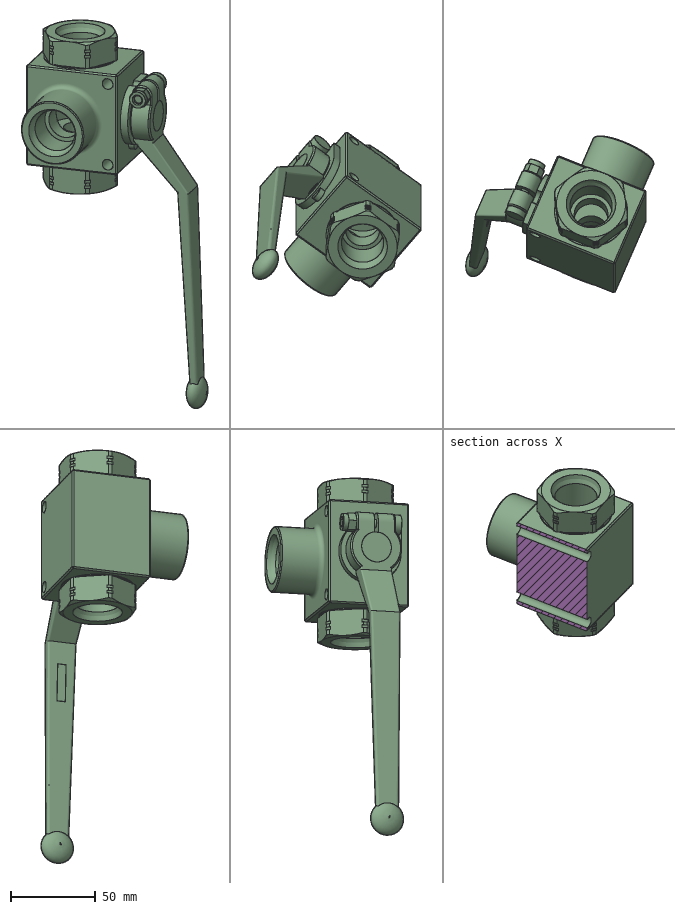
import cadquery as cq
import math


BLOCK_LEFT = -25.5
BLOCK_RIGHT = 31.6
BLOCK_WIDTH = 49.1
BLOCK_HEIGHT = 62.5
BLOCK_CHAMFER = 1.0
MOUNT_HOLE_DIAMETER = 6.5
MOUNT_HOLE_X = 25.7
MOUNT_HOLE_Z = 25.3

BORE_DIAMETER = 20.0
SEAT_DIAMETER = 25.0
SEAT_DEPTH = 22.8
SEAT_CONE_START = 2.7
SEAT_CONE_END = 5.0
MOUTH_INNER_DIAMETER = 27.8
MOUTH_DIAMETER = 29.3

CHAMBER_DIAMETER = 35.5
CHAMBER_HEIGHT = 25.0

PORT_TOP = 47.5
HEX_ACROSS_FLATS = 41.0
HEX_CORNER_RADIUS = 23.0
HEX_CHAMFER_HEIGHT = 1.1
COLLAR_DIAMETER = 43.2
COLLAR_HEIGHT = 0.7
CORNER_GROOVE_RADIUS = 22.64
CORNER_GROOVE_WIDTH = 1.5
CORNER_GROOVE_DEPTHS = (5.0, 8.5)

SPIGOT_DIAMETER = 39.1
SPIGOT_LENGTH = 26.0
SPIGOT_CHAMFER = 0.7
SPIGOT_ROOT_RADIUS = 3.0

PLATE_DIAMETER = 37.0
PLATE_THICKNESS = 4.5
PLATE_NOTCH_DIAMETER = 8.2
PLATE_NOTCH_Y = 0.7
STOP_PIN_DIAMETER = 8.0
STOP_PIN_LENGTH = 3.5
STOP_PIN_BOTTOM = -22.3
STEM_DIAMETER = 18.2

CLAMP_LEFT = 36.5
CLAMP_LENGTH = 12.5
CLAMP_RIGHT = CLAMP_LEFT + CLAMP_LENGTH
CLAMP_CENTRE_X = CLAMP_LEFT + CLAMP_LENGTH / 2
CLAMP_DIAMETER = 31.5
CLAMP_CHAMFER = 1.0
LUG_CENTRE_Z = 15.5
LUG_BOTTOM = 10.0
LUG_WIDTH = 23.7
LUG_CHAMFER = 1.0
SLIT_WIDTH = 2.3

BOLT_SHANK_DIAMETER = 5.0
BOLT_HEAD_DIAMETER = 11.8
BOLT_HEAD_HEIGHT = 3.9
NUT_ACROSS_FLATS = 10.0
NUT_HEIGHT = 4.8
BOLT_TIP_DIAMETER = 10.0
BOLT_TIP_LENGTH = 3.0
SOCKET_DIAMETER = 5.0
SOCKET_CHAMFER = 0.7
SOCKET_DEPTH = 2.0

ARM_ROOT = (CLAMP_CENTRE_X, -9.0, CLAMP_LENGTH, 18.9, 1.0)
ARM_TOP = (CLAMP_CENTRE_X, -14.0, CLAMP_LENGTH, 18.9, 1.0)
ARM_BEND = (67.3, -43.7, 7.0, 17.7, 1.1)
ARM_END = (73.3, -163.8, 5.2, 13.6, 1.5)
KNOB_DIAMETER = 20.0
KNOB_THICKNESS = 11.8
KNOB_CENTRE = (73.3, 0, -170.0)
PANEL_WIDTH = 5.2
PANEL_LENGTH = 23.0
PANEL_CENTRE_Z = -68.7
PANEL_DEPTH = 0.5


def x_cylinder(diameter, start, length):
    return cq.Workplane("YZ", origin=(start, 0, 0)).circle(diameter / 2).extrude(length)


def y_cylinder(diameter, x, z, start, length):
    """Cylinder that runs from `start` toward -Y."""
    return cq.Workplane("XZ", origin=(x, start, z)).circle(diameter / 2).extrude(length)


def block():
    body = cq.Workplane("XY").box(BLOCK_RIGHT - BLOCK_LEFT, BLOCK_WIDTH, BLOCK_HEIGHT)
    body = body.edges().chamfer(BLOCK_CHAMFER)
    return body.translate(((BLOCK_LEFT + BLOCK_RIGHT) / 2, 0, 0))


def hex_port():
    """Upper hexagonal port, with chamfered top and two grooves across each rounded corner."""
    base = BLOCK_HEIGHT / 2
    hex_base = base + COLLAR_HEIGHT
    collar = cq.Workplane("XY", origin=(0, 0, base)).circle(COLLAR_DIAMETER / 2).extrude(COLLAR_HEIGHT)
    across_corners = HEX_ACROSS_FLATS / math.cos(math.pi / 6)
    hex_height = PORT_TOP - hex_base
    prism = cq.Workplane("XY", origin=(0, 0, hex_base)).polygon(6, across_corners).extrude(hex_height)
    envelope = (
        cq.Workplane("XZ")
        .moveTo(0, hex_base)
        .lineTo(HEX_CORNER_RADIUS, hex_base)
        .lineTo(HEX_CORNER_RADIUS, PORT_TOP - HEX_CHAMFER_HEIGHT)
        .lineTo(HEX_ACROSS_FLATS / 2, PORT_TOP)
        .lineTo(0, PORT_TOP)
        .close()
        .revolve(360, (0, 0), (0, 1))
    )
    port = prism.intersect(envelope)
    for depth in CORNER_GROOVE_DEPTHS:
        groove_base = PORT_TOP - depth - CORNER_GROOVE_WIDTH / 2
        ring = (
            cq.Workplane("XY", origin=(0, 0, groove_base))
            .circle(across_corners / 2)
            .circle(CORNER_GROOVE_RADIUS)
            .extrude(CORNER_GROOVE_WIDTH)
        )
        port = port.cut(ring)
    return port.union(collar)


def spigot():
    """Round port on the -Y side, with a concave fillet where it leaves the block."""
    radius = SPIGOT_DIAMETER / 2
    face = BLOCK_WIDTH / 2
    end = face + SPIGOT_LENGTH
    arc_middle = SPIGOT_ROOT_RADIUS * (1 - math.sqrt(0.5))
    return (
        cq.Workplane("XY")
        .moveTo(0, -face)
        .lineTo(radius + SPIGOT_ROOT_RADIUS, -face)
        .threePointArc(
            (radius + arc_middle, -face - arc_middle),
            (radius, -face - SPIGOT_ROOT_RADIUS),
        )
        .lineTo(radius, -end + SPIGOT_CHAMFER)
        .lineTo(radius - SPIGOT_CHAMFER, -end)
        .lineTo(0, -end)
        .close()
        .revolve(360, (0, 0), (0, 1))
    )


def port_bore(length):
    """Tool for a bore that opens upward at Z = `length` and ends at the origin."""
    return (
        cq.Workplane("XZ")
        .lineTo(BORE_DIAMETER / 2, 0)
        .lineTo(BORE_DIAMETER / 2, length - SEAT_DEPTH)
        .lineTo(SEAT_DIAMETER / 2, length - SEAT_DEPTH)
        .lineTo(SEAT_DIAMETER / 2, length - SEAT_CONE_END)
        .lineTo(MOUTH_INNER_DIAMETER / 2, length - SEAT_CONE_START)
        .lineTo(MOUTH_DIAMETER / 2, length)
        .lineTo(0, length)
        .close()
        .revolve(360, (0, 0), (0, 1))
    )


def chamber():
    return cq.Workplane("XY").circle(CHAMBER_DIAMETER / 2).extrude(CHAMBER_HEIGHT / 2, both=True)


def mount_holes():
    return (
        cq.Workplane("XZ", origin=(0, BLOCK_WIDTH / 2, 0))
        .pushPoints([(MOUNT_HOLE_X, MOUNT_HOLE_Z), (MOUNT_HOLE_X, -MOUNT_HOLE_Z)])
        .circle(MOUNT_HOLE_DIAMETER / 2)
        .extrude(BLOCK_WIDTH)
    )


def stop_plate():
    """Disc with one squared-off quarter and a round notch in its top edge."""
    radius = PLATE_DIAMETER / 2
    disc = x_cylinder(PLATE_DIAMETER, BLOCK_RIGHT, PLATE_THICKNESS)
    corner = cq.Workplane("XY").box(PLATE_THICKNESS, radius, radius, centered=False)
    notch = x_cylinder(PLATE_NOTCH_DIAMETER, BLOCK_RIGHT, PLATE_THICKNESS)
    plate = disc.union(corner.translate((BLOCK_RIGHT, 0, 0)))
    return plate.cut(notch.translate((0, PLATE_NOTCH_Y, radius)))


def stop_pin():
    centre_z = STOP_PIN_BOTTOM + STOP_PIN_DIAMETER / 2
    return x_cylinder(STOP_PIN_DIAMETER, BLOCK_RIGHT, STOP_PIN_LENGTH).translate((0, 0, centre_z))


def make_valve_body():
    top_port = hex_port()
    bottom_port = top_port.rotate((0, 0, 0), (1, 0, 0), 180)
    stem = x_cylinder(STEM_DIAMETER, BLOCK_RIGHT, CLAMP_RIGHT - BLOCK_RIGHT)
    body = block().union(top_port).union(bottom_port).union(spigot())
    body = body.union(stop_plate()).union(stop_pin()).union(stem)

    hex_bore = port_bore(PORT_TOP)
    spigot_bore = port_bore(BLOCK_WIDTH / 2 + SPIGOT_LENGTH)
    body = body.cut(hex_bore)
    body = body.cut(hex_bore.rotate((0, 0, 0), (1, 0, 0), 180))
    body = body.cut(spigot_bore.rotate((0, 0, 0), (1, 0, 0), 90))
    return body.cut(chamber()).cut(mount_holes())


def clamp():
    """Split ring around the stem with a round-topped lug for the bolt."""
    ring = x_cylinder(CLAMP_DIAMETER, CLAMP_LEFT, CLAMP_LENGTH).edges().chamfer(CLAMP_CHAMFER)
    lug = (
        cq.Workplane("XZ", origin=(0, LUG_WIDTH / 2, 0))
        .moveTo(CLAMP_LEFT, LUG_BOTTOM)
        .lineTo(CLAMP_RIGHT, LUG_BOTTOM)
        .lineTo(CLAMP_RIGHT, LUG_CENTRE_Z)
        .threePointArc((CLAMP_CENTRE_X, LUG_CENTRE_Z + CLAMP_LENGTH / 2), (CLAMP_LEFT, LUG_CENTRE_Z))
        .close()
        .extrude(LUG_WIDTH)
        .edges("%CIRCLE")
        .chamfer(LUG_CHAMFER)
    )
    slit = cq.Workplane("XY").box(CLAMP_LENGTH, SLIT_WIDTH, CLAMP_DIAMETER, centered=(False, True, False))
    return ring.union(lug).cut(slit.translate((CLAMP_LEFT, 0, 0)))


def clamp_bolt():
    x, z = CLAMP_CENTRE_X, LUG_CENTRE_Z
    lug_end = LUG_WIDTH / 2
    nut_end = -lug_end - NUT_HEIGHT
    head = y_cylinder(BOLT_HEAD_DIAMETER, x, z, lug_end + BOLT_HEAD_HEIGHT, BOLT_HEAD_HEIGHT)
    shank = y_cylinder(BOLT_SHANK_DIAMETER, x, z, lug_end, LUG_WIDTH)
    nut_across_corners = NUT_ACROSS_FLATS / math.cos(math.pi / 6)
    nut = cq.Workplane("XZ", origin=(x, -lug_end, z)).polygon(6, nut_across_corners).extrude(NUT_HEIGHT)
    tip = y_cylinder(BOLT_TIP_DIAMETER, x, z, nut_end, BOLT_TIP_LENGTH)
    socket = y_cylinder(SOCKET_DIAMETER, x, z, nut_end - BOLT_TIP_LENGTH + SOCKET_DEPTH, SOCKET_DEPTH)
    bolt = head.union(shank).union(nut).union(tip).cut(socket)
    socket_rim = cq.selectors.RadiusNthSelector(0)
    return bolt.faces("<Y").edges(socket_rim).chamfer(SOCKET_CHAMFER)


def arm_segment(upper, lower):
    """Tapered bar between two level, round-cornered sections."""
    loft = cq.Workplane("XY")
    sketches = []
    for x, z, thickness, width, corner_radius in (upper, lower):
        sketch = cq.Sketch().rect(thickness, width).vertices().fillet(corner_radius)
        sketches.append(sketch.moved(cq.Location(cq.Vector(x, 0, z))))
    return loft.placeSketch(*sketches).loft(ruled=True)


def knob():
    """Flattened ball: an ellipse turned about its short axis, which lies along X."""
    half_thickness = KNOB_THICKNESS / 2
    half_ellipse = (
        cq.Workplane("XY")
        .ellipseArc(half_thickness, KNOB_DIAMETER / 2, 0, 180, startAtCurrent=False)
        .close()
    )
    return half_ellipse.revolve(360, (0, 0), (1, 0)).translate(KNOB_CENTRE)


def name_panel():
    """Shallow rectangular recess tool, level with the sloping left face of the lower arm."""
    bend_face = ARM_BEND[0] - ARM_BEND[2] / 2
    end_face = ARM_END[0] - ARM_END[2] / 2
    slope = (end_face - bend_face) / (ARM_BEND[1] - ARM_END[1])
    face_x = bend_face + slope * (ARM_BEND[1] - PANEL_CENTRE_Z)
    panel = cq.Workplane("XY").box(2 * PANEL_DEPTH, PANEL_WIDTH, PANEL_LENGTH)
    tilt = -math.degrees(math.atan(slope))
    return panel.rotate((0, 0, 0), (0, 1, 0), tilt).translate((face_x, 0, PANEL_CENTRE_Z))


def make_lever():
    lower_arm = arm_segment(ARM_BEND, ARM_END).cut(name_panel())
    lever = clamp()
    lever = lever.union(arm_segment(ARM_ROOT, ARM_TOP)).union(arm_segment(ARM_TOP, ARM_BEND))
    lever = lever.union(lower_arm).union(knob())
    stem_hole = x_cylinder(STEM_DIAMETER, CLAMP_LEFT, CLAMP_LENGTH)
    return lever.union(clamp_bolt()).cut(stem_hole)


valve_body = make_valve_body()
lever = make_lever()

result = cq.Compound.makeCompound([valve_body.solids().val(), lever.solids().val()])